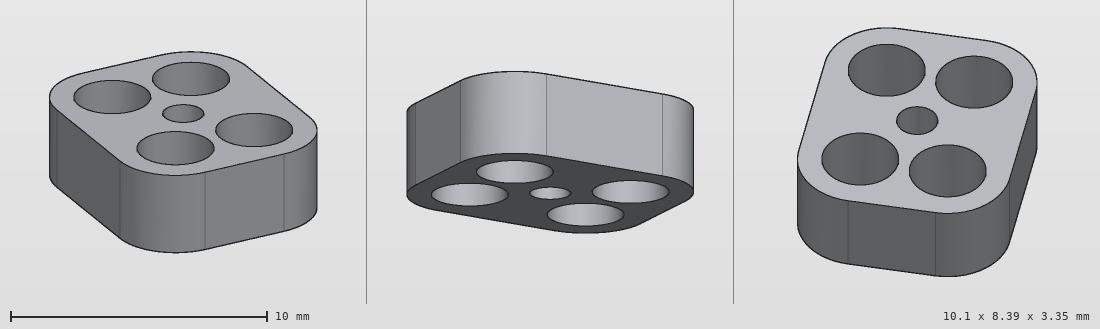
import cadquery as cq

length = 10.14
width = 8.39
height = 3.35
corner_radius = 2.45

corner_hole_diameter = 3.0
center_hole_diameter = 1.6

hole_spacing_x = length - 2 * corner_radius
hole_spacing_y = width - 2 * corner_radius

block = (
    cq.Workplane("XY")
    .box(length, width, height)
    .edges("|Z")
    .fillet(corner_radius)
)

with_corner_holes = (
    block.faces(">Z")
    .workplane(origin=(0, 0, 0))
    .rarray(hole_spacing_x, hole_spacing_y, 2, 2)
    .hole(corner_hole_diameter)
)

result = (
    with_corner_holes.faces(">Z")
    .workplane(origin=(0, 0, 0))
    .hole(center_hole_diameter)
)